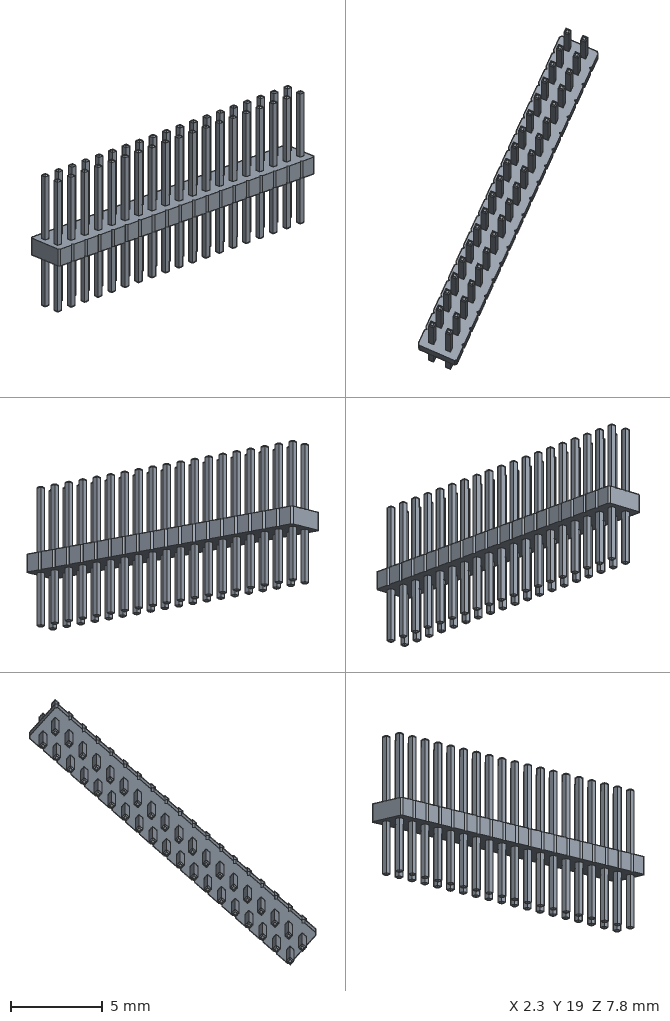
import cadquery as cq

pitch = 1.0
rows = 19
columns = 2

body_width = 2.3
body_length = rows * pitch
body_height = 1.0
corner_chamfer = 0.1

pin_width = 0.3
pin_above_body = 3.8
pin_below_body = 3.0
pin_length = pin_above_body + body_height + pin_below_body
tip_chamfer = pin_width / 4


def make_body():
    """One block per pin row; the chamfered corners leave V notches between rows."""
    segment = (
        cq.Workplane("XY")
        .box(body_width, pitch, body_height, centered=(True, True, False))
        .edges("|Z")
        .chamfer(corner_chamfer)
    )
    first_row_y = -(body_length - pitch) / 2
    body = segment.translate((0, first_row_y, 0))
    for row in range(1, rows):
        body = body.union(segment.translate((0, first_row_y + row * pitch, 0)))
    return body.clean()


def make_pins():
    """Grid of straight square pins with chamfered tips at both ends."""
    return (
        cq.Workplane("XY")
        .workplane(offset=-pin_below_body)
        .rarray(pitch, pitch, columns, rows)
        .rect(pin_width, pin_width)
        .extrude(pin_length)
        .faces("<Z or >Z")
        .chamfer(tip_chamfer)
    )


result = make_body().union(make_pins())